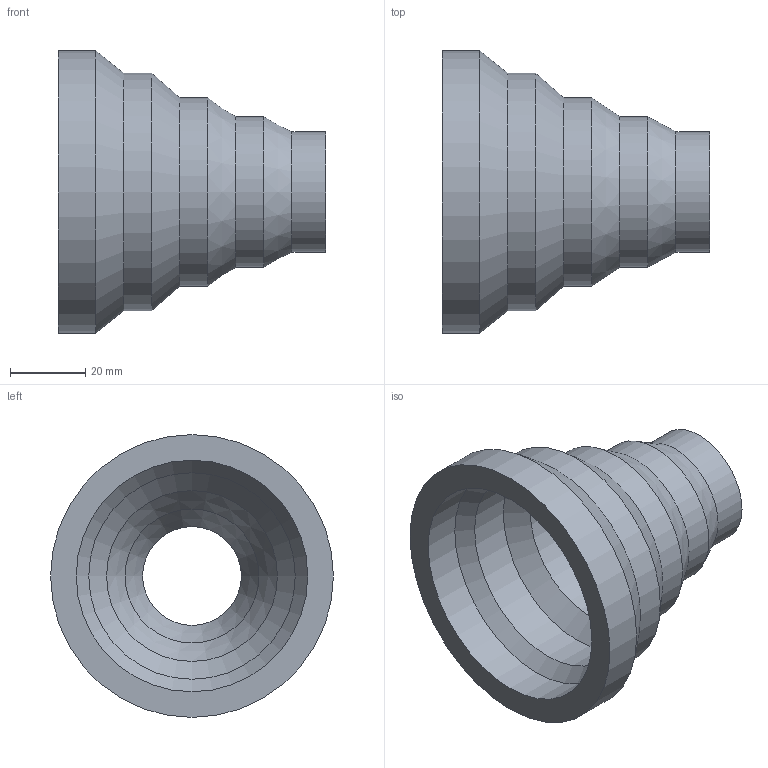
import cadquery as cq

outer_diameters = [75.0, 63.0, 50.0, 40.0, 32.0]
bore_diameters = [61.4, 54.75, 45.3, 35.5, 26.2]

total_length = 71.0
wide_end_length = 10.0
narrow_end_length = 9.0
cone_count = len(outer_diameters) - 1
section_length = (total_length - wide_end_length - narrow_end_length) / (2 * cone_count - 1)


def diameter_drops(diameters):
    """Decrease in diameter from each step to the next."""
    return [wide - narrow for wide, narrow in zip(diameters, diameters[1:])]


outer_cone_lengths = [section_length] * cone_count
bore_cone_lengths = [
    section_length * bore_drop / outer_drop
    for bore_drop, outer_drop in zip(diameter_drops(bore_diameters), diameter_drops(outer_diameters))
]


def stepped_solid(diameters, cone_lengths):
    """Solid of revolution about X: cylindrical steps joined by cones."""
    profile = cq.Workplane("XY").lineTo(0, diameters[0] / 2)
    for index, cone_length in enumerate(cone_lengths):
        cone_start = wide_end_length + 2 * index * section_length
        profile = profile.lineTo(cone_start, diameters[index] / 2)
        profile = profile.lineTo(cone_start + cone_length, diameters[index + 1] / 2)
    profile = profile.lineTo(total_length, diameters[-1] / 2)
    profile = profile.lineTo(total_length, 0).close()
    return profile.revolve(360, (0, 0, 0), (1, 0, 0))


body = stepped_solid(outer_diameters, outer_cone_lengths)
bore = stepped_solid(bore_diameters, bore_cone_lengths)

result = body.cut(bore)